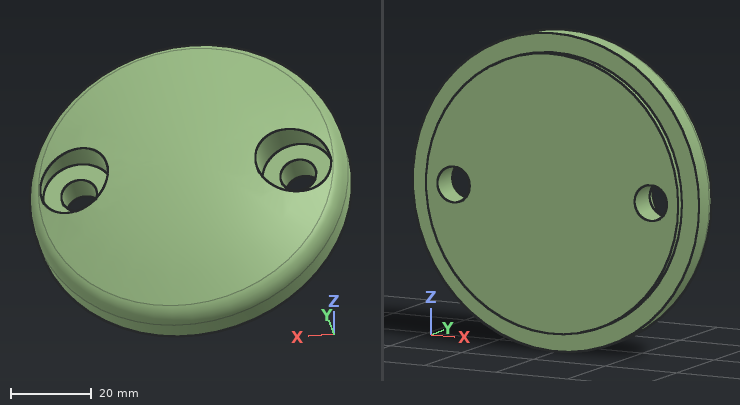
import cadquery as cq
import math

total_depth = 20.0
rim_radius = 40.0
spigot_radius = 35.2
spigot_depth = 2.0
dome_radius = 90.0
edge_radius = rim_radius / 8

hole_spacing = 55.0
hole_diameter = 9.0
head_diameter = 18.0
head_floor = 8.0

dome_centre = total_depth - dome_radius
edge_centre_radius = rim_radius - edge_radius
dome_angle = math.asin(edge_centre_radius / (dome_radius - edge_radius))
edge_centre = dome_centre + (dome_radius - edge_radius) * math.cos(dome_angle)


def on_dome(angle):
    return (dome_radius * math.sin(angle), dome_centre + dome_radius * math.cos(angle))


def on_edge(angle):
    return (
        edge_centre_radius + edge_radius * math.sin(angle),
        edge_centre + edge_radius * math.cos(angle),
    )


def make_body():
    quarter_turn = math.pi / 2
    profile = (
        cq.Workplane("XY")
        .lineTo(spigot_radius, 0)
        .lineTo(spigot_radius, spigot_depth)
        .lineTo(rim_radius, spigot_depth)
        .lineTo(rim_radius, edge_centre)
        .threePointArc(on_edge((dome_angle + quarter_turn) / 2), on_dome(dome_angle))
        .threePointArc(on_dome(dome_angle / 2), (0, total_depth))
        .close()
    )
    return profile.revolve(360, (0, 0, 0), (0, 1, 0))


def along_y(x, diameter, start, end):
    """Cylinder parallel to Y at the given x, from y = start to y = end."""
    return (
        cq.Workplane("XZ", origin=(x, start, 0))
        .circle(diameter / 2)
        .extrude(start - end)
    )


result = make_body()
for x in (-hole_spacing / 2, hole_spacing / 2):
    result = result.cut(along_y(x, hole_diameter, 0, total_depth))
    result = result.cut(along_y(x, head_diameter, head_floor, total_depth))